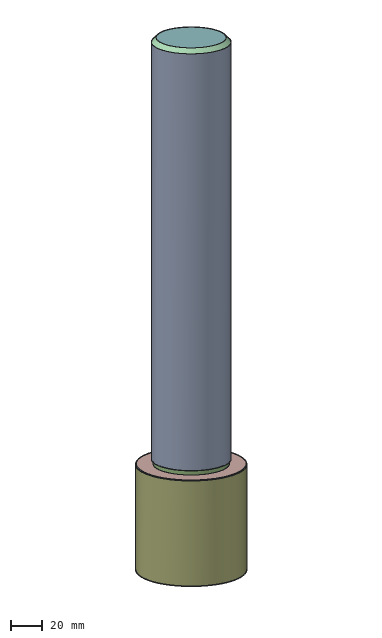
import cadquery as cq

total_length = 350.0
head_diameter = 70.0
head_height = 70.0
head_chamfer = 0.5
shank_diameter = 50.0
tip_chamfer = 3.0
neck_depth = 1.0
neck_height = 3.0

head_radius = head_diameter / 2
shank_radius = shank_diameter / 2
neck_radius = shank_radius - neck_depth


def head():
    """Cylindrical head standing on the XY plane, both rims chamfered."""
    cylinder = cq.Workplane("XY").circle(head_radius).extrude(head_height)
    return cylinder.faces("<Z or >Z").chamfer(head_chamfer)


def neck():
    """Shallow relief groove between the head and the shank."""
    return (
        cq.Workplane("XY")
        .workplane(offset=head_height)
        .circle(neck_radius)
        .extrude(neck_height)
    )


def shank():
    """Long cylinder above the neck with a chamfered tip."""
    shank_start = head_height + neck_height
    cylinder = (
        cq.Workplane("XY")
        .workplane(offset=shank_start)
        .circle(shank_radius)
        .extrude(total_length - shank_start)
    )
    return cylinder.faces(">Z").chamfer(tip_chamfer)


result = head().union(neck()).union(shank())